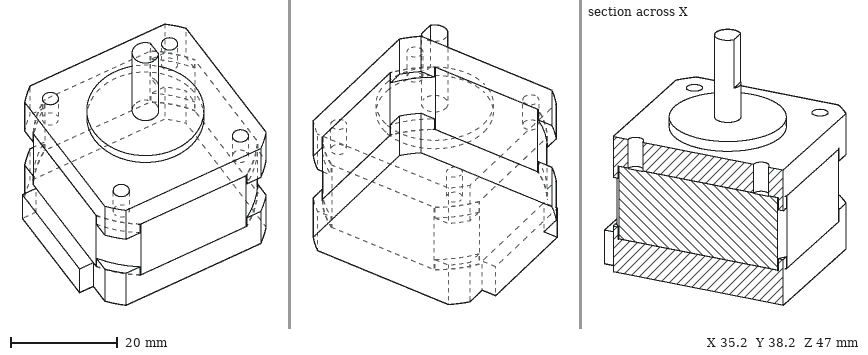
import cadquery as cq

frame_width = 35.2
total_height = 47.0
cap_corner_radius = 22.95
stator_corner_radius = 21.0
stator_clearance = 0.1

rear_plate_height = 7.0
stator_height = 15.0
front_plate_height = 6.0
skirt_height = 2.5
stator_top = rear_plate_height + stator_height
frame_top = stator_top + front_plate_height

boss_diameter = 22.0
boss_height = 2.0
shaft_diameter = 5.0
flat_depth = 0.5
flat_length = 10.0
mount_hole_diameter = 3.0
mount_hole_spacing = 26.0

connector_width = 21.0
connector_depth = 3.0
connector_height = rear_plate_height


def cylinder(radius, bottom, height):
    """Cylinder on the Z axis."""
    return cq.Workplane("XY").workplane(offset=bottom).circle(radius).extrude(height)


def rounded_square(corner_radius, bottom, height):
    """Frame-sized square block whose corners lie on a circle about the Z axis."""
    block = (
        cq.Workplane("XY")
        .workplane(offset=bottom)
        .rect(frame_width, frame_width)
        .extrude(height)
    )
    return block.intersect(cylinder(corner_radius, bottom, height))


def stator_recess():
    """Round space that the stator occupies inside the two caps."""
    return cylinder(stator_corner_radius + stator_clearance, rear_plate_height, stator_height)


def make_shaft():
    """Output shaft with a flat on its +Y side at the free end."""
    shaft = cylinder(shaft_diameter / 2, frame_top, total_height - frame_top)
    flat_cutter = (
        cq.Workplane("XY")
        .workplane(offset=total_height - flat_length)
        .center(0, shaft_diameter / 2)
        .rect(shaft_diameter, 2 * flat_depth)
        .extrude(flat_length)
    )
    return shaft.cut(flat_cutter)


def make_mount_holes():
    """Four holes through the front plate, ending at the stator."""
    return (
        cq.Workplane("XY")
        .workplane(offset=stator_top)
        .rect(mount_hole_spacing, mount_hole_spacing, forConstruction=True)
        .vertices()
        .circle(mount_hole_diameter / 2)
        .extrude(front_plate_height)
    )


def make_front_cap():
    """Front plate with corner skirts, centring boss and shaft."""
    cap_bottom = stator_top - skirt_height
    cap = rounded_square(cap_corner_radius, cap_bottom, frame_top - cap_bottom)
    cap = cap.cut(stator_recess()).cut(make_mount_holes())
    boss = cylinder(boss_diameter / 2, frame_top, boss_height)
    return cap.union(boss).union(make_shaft())


def make_stator():
    """Solid core held between the two caps."""
    return rounded_square(stator_corner_radius, rear_plate_height, stator_height)


def make_rear_cap():
    """Rear plate with corner skirts and the connector block."""
    cap = rounded_square(cap_corner_radius, 0, rear_plate_height + skirt_height)
    cap = cap.cut(stator_recess())
    connector = cq.Workplane("XY").box(
        connector_width, connector_depth, connector_height, centered=(True, True, False)
    )
    return cap.union(connector.translate((0, -(frame_width + connector_depth) / 2, 0)))


front_cap = make_front_cap()
stator = make_stator()
rear_cap = make_rear_cap()

result = cq.Compound.makeCompound([front_cap.val(), stator.val(), rear_cap.val()])